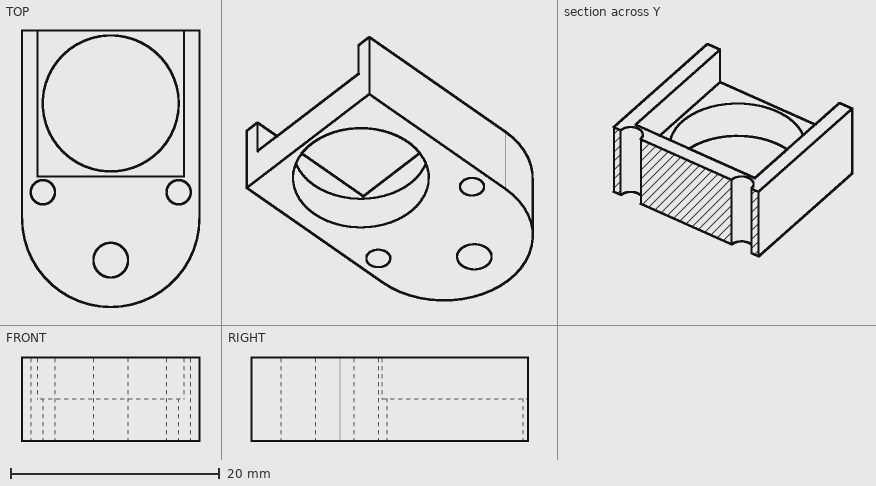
import cadquery as cq

width = 17.0
height = 8.0
pocket_size = 14.0
pocket_depth = 4.0
bore_diameter = 13.0
side_hole_diameter = 2.3
side_hole_spacing = 13.0
nose_hole_diameter = 3.3
straight_length = 18.0
side_hole_setback = 15.5
nose_hole_setback = 22.0

nose_radius = width / 2
end_y = pocket_size / 2
nose_center_y = end_y - straight_length
side_hole_y = end_y - side_hole_setback
nose_hole_y = end_y - nose_hole_setback


def make_body():
    """Block with a full-width round nose toward -Y."""
    return (
        cq.Workplane("XY")
        .moveTo(-nose_radius, end_y)
        .lineTo(-nose_radius, nose_center_y)
        .threePointArc((0, nose_center_y - nose_radius), (nose_radius, nose_center_y))
        .lineTo(nose_radius, end_y)
        .close()
        .extrude(height)
    )


def make_pocket():
    """Square pocket cut from the top, leaving a wall on each side."""
    return (
        cq.Workplane("XY")
        .workplane(offset=height - pocket_depth)
        .rect(pocket_size, pocket_size)
        .extrude(pocket_depth)
    )


def make_through_holes(diameter, centers):
    """Vertical cylinders through the full height."""
    return cq.Workplane("XY").pushPoints(centers).circle(diameter / 2).extrude(height)


side_hole_centers = [(side * side_hole_spacing / 2, side_hole_y) for side in (-1, 1)]

result = (
    make_body()
    .cut(make_pocket())
    .cut(make_through_holes(bore_diameter, [(0, 0)]))
    .cut(make_through_holes(side_hole_diameter, side_hole_centers))
    .cut(make_through_holes(nose_hole_diameter, [(0, nose_hole_y)]))
)